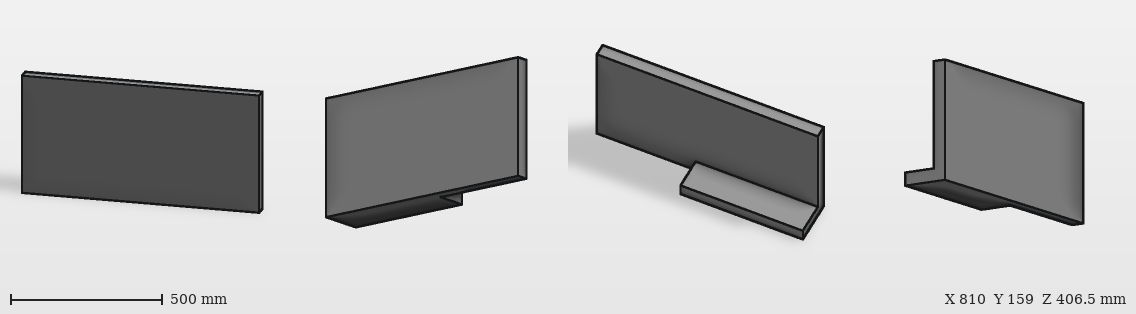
import cadquery as cq

length = 810.0
depth = 159.0
height = 406.5

thickness = 44.5

foot_length = 448.0

wall = cq.Workplane("XY").box(length, thickness, height, centered=False)

foot = cq.Workplane("XY").box(foot_length, depth, thickness, centered=False)

result = wall.union(foot)